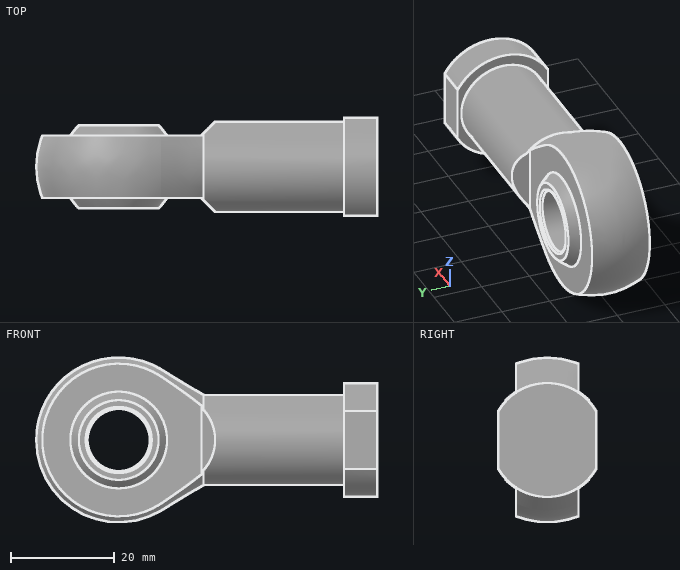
import cadquery as cq
import math

overall_length = 66.0
eye_radius = 16.0
eye_width = 12.15
shank_radius = 17.5 / 2
neck_end = 16.45
neck_shoulder = 16.0
collar_radius = 22.05 / 2
collar_length = 6.5
collar_across_flats = 19.0
ball_radius = 11.15
ball_width = 16.1
bore_radius = 12.0 / 2
bore_chamfer = 0.4

shank_end = overall_length - eye_radius
collar_start = shank_end - collar_length


def make_body():
    """Spherical eye, tangent conical neck, shank and collar, turned about X."""
    neck_distance = math.hypot(neck_end, shank_radius)
    tangent_angle = math.atan2(shank_radius, neck_end) + math.acos(eye_radius / neck_distance)
    tangent_point = (eye_radius * math.cos(tangent_angle), eye_radius * math.sin(tangent_angle))
    profile = (
        cq.Workplane("XZ")
        .moveTo(-eye_radius, 0)
        .threePointArc((0, eye_radius), tangent_point)
        .lineTo(neck_end, shank_radius)
        .lineTo(collar_start, shank_radius)
        .lineTo(collar_start, collar_radius)
        .lineTo(shank_end, collar_radius)
        .lineTo(shank_end, 0)
        .close()
    )
    return profile.revolve(360, (0, 0, 0), (1, 0, 0))


def make_flats_envelope():
    """Prism limiting the eye width and collar flats, with 45 degree shoulders between."""
    half_eye = eye_width / 2
    half_collar = collar_across_flats / 2
    shoulder_end = neck_shoulder + half_collar - half_eye
    upper_side = [
        (-eye_radius, half_eye),
        (neck_shoulder, half_eye),
        (shoulder_end, half_collar),
        (shank_end, half_collar),
    ]
    lower_side = [(x, -y) for x, y in reversed(upper_side)]
    return (
        cq.Workplane("XY")
        .polyline(upper_side + lower_side)
        .close()
        .extrude(eye_radius, both=True)
    )


def make_ball():
    """Spherical bearing ball, cut flat on both sides."""
    side = 2 * ball_radius
    slab = cq.Workplane("XY").box(side, ball_width, side)
    return cq.Workplane("XY").sphere(ball_radius).intersect(slab)


def make_bore():
    """Through bore along Y with a 45 degree chamfer at each mouth."""
    half_width = ball_width / 2
    mouth_radius = bore_radius + bore_chamfer
    chamfer_start = half_width - bore_chamfer
    return (
        cq.Workplane("XY")
        .polyline([
            (0, -half_width),
            (mouth_radius, -half_width),
            (bore_radius, -chamfer_start),
            (bore_radius, chamfer_start),
            (mouth_radius, half_width),
            (0, half_width),
        ])
        .close()
        .revolve(360, (0, 0, 0), (0, 1, 0))
    )


housing = make_body().intersect(make_flats_envelope())
result = housing.union(make_ball()).cut(make_bore())